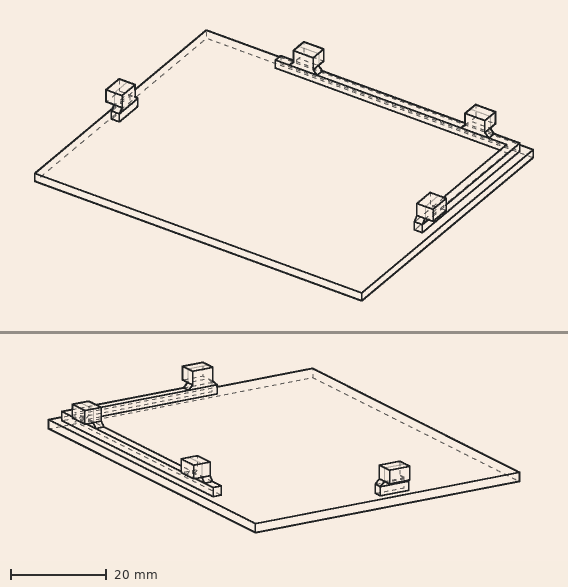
import cadquery as cq

length = 82
depth = 65.0
height = 8.0

layer = height / 4
plate_top = layer
rim_top = 2 * layer
edge_inset = layer

clip_width = 5.0
flare = layer / 2
foot_width = clip_width + 2 * flare
catch_height = height - rim_top - flare

rim_start_x = -length / 2 + 20.0
back_clip_xs = [-length / 2 + 27.0, length / 2 - 12.0]
side_clip_y = depth / 2 - 35.5
rim_end_y = side_clip_y - foot_width / 2
rim_outer_x = length / 2 - edge_inset
rim_outer_y = depth / 2 - edge_inset


def block(x_min, x_max, y_min, y_max, z_min, z_max):
    """Box between two limits on each axis."""
    size = (x_max - x_min, y_max - y_min, z_max - z_min)
    return cq.Workplane("XY").box(*size, centered=False).translate((x_min, y_min, z_min))


def make_lid():
    """Plate with an L-shaped rim along two edges and a short rib for the lone clip."""
    plate = block(-length / 2, length / 2, -depth / 2, depth / 2, 0, plate_top)
    rim = (
        cq.Workplane("XY", origin=(0, 0, plate_top))
        .moveTo(rim_start_x, rim_outer_y)
        .lineTo(rim_outer_x, rim_outer_y)
        .lineTo(rim_outer_x, rim_end_y)
        .lineTo(rim_outer_x - layer, rim_end_y)
        .lineTo(rim_outer_x - layer, rim_outer_y - layer)
        .lineTo(rim_start_x, rim_outer_y - layer)
        .close()
        .extrude(layer)
    )
    rib = block(
        -rim_outer_x, -rim_outer_x + layer,
        rim_end_y, rim_end_y + foot_width,
        plate_top, rim_top,
    )
    return plate.union(rim).union(rib)


def make_clip(x, y, turn):
    """Clip standing on the rim: flared upright and outward catch.

    The point (x, y) is the middle of the plate edge that the catch reaches,
    and turn is the rotation about Z from a clip on the +Y edge.
    """
    upright = (
        cq.Workplane("XZ", origin=(0, -edge_inset, 0))
        .moveTo(-foot_width / 2, rim_top)
        .lineTo(foot_width / 2, rim_top)
        .lineTo(clip_width / 2, rim_top + flare)
        .lineTo(clip_width / 2, height)
        .lineTo(-clip_width / 2, height)
        .lineTo(-clip_width / 2, rim_top + flare)
        .close()
        .extrude(layer)
    )
    catch = block(-clip_width / 2, clip_width / 2, -edge_inset, 0, height - catch_height, height)
    clip = upright.union(catch, clean=False)
    return clip.rotate((0, 0, 0), (0, 0, 1), turn).translate((x, y, 0))


lid = make_lid()

clip_places = [(x, depth / 2, 0) for x in back_clip_xs]
clip_places.append((-length / 2, side_clip_y, 90))
clip_places.append((length / 2, side_clip_y, -90))
clips = [make_clip(x, y, turn) for x, y, turn in clip_places]

result = cq.Compound.makeCompound([lid.val(), *[clip.val() for clip in clips]])